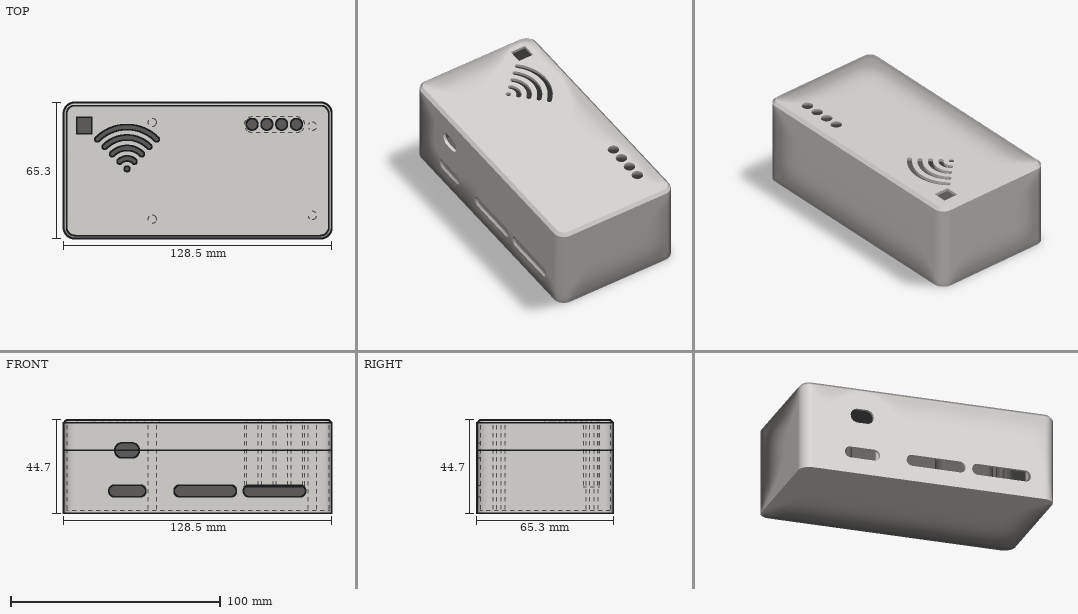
import cadquery as cq
import math

LENGTH = 128.5
WIDTH = 65.3
HEIGHT = 44.7
CORNER_RADIUS = 5.5
TOP_CHAMFER = 1.5
WALL = 1.5
PARTING_Z = 30.0
INNER_RADIUS = CORNER_RADIUS - WALL
CEILING_Z = HEIGHT - WALL

POST_DIAMETER = 4.0
LEFT_POST_X = -21.8
LEFT_POST_Y = 23.1
RIGHT_POST_X = 54.7
RIGHT_POST_Y = 21.3
POSTS = (
    (LEFT_POST_X, -LEFT_POST_Y),
    (LEFT_POST_X, LEFT_POST_Y),
    (RIGHT_POST_X, -RIGHT_POST_Y),
    (RIGHT_POST_X, RIGHT_POST_Y),
)

PORT_Z = 10.7
PORT_HEIGHT = 5.7
PORTS = ((-33.7, 17.7), (3.6, 29.8), (36.7, 29.8))
PLUG_X = -33.8
PLUG_LENGTH = 11.7
PLUG_HEIGHT = 7.2

LIGHT_COUNT = 4
LIGHT_DIAMETER = 5.5
LIGHT_PITCH = 7.1
LIGHT_ROW_X = 36.6
LIGHT_ROW_Y = 22.1
GUIDE_WALL = 1.0
GUIDE_BOTTOM_Z = 12.7

WINDOW_X = -54.2
WINDOW_Y = 21.6
WINDOW_LENGTH = 7.3
WINDOW_WIDTH = 8.0

VENT_X = -33.8
VENT_Y = 0.8
DOT_DIAMETER = 2.6
WAVE_COUNT = 4
WAVE_PITCH = 5.0
WAVE_WIDTH = 2.5
WAVE_HALF_ANGLE = 45.0


def rounded_block(inset, radius, bottom, top):
    """Block with rounded upright corners, set in from the outer walls."""
    return (
        cq.Workplane("XY", origin=(0, 0, bottom))
        .rect(LENGTH - 2 * inset, WIDTH - 2 * inset)
        .extrude(top - bottom)
        .edges("|Z")
        .fillet(radius)
    )


def front_slot(x, z, length, height):
    """Round-ended cutter through the front wall only."""
    return (
        cq.Workplane("XZ", origin=(x, -WIDTH / 2 + WALL, z))
        .slot2D(length, height)
        .extrude(WALL)
    )


def plug_slot():
    """Opening that straddles the joint between base and lid."""
    return front_slot(PLUG_X, PARTING_Z, PLUG_LENGTH, PLUG_HEIGHT)


def make_post(x, y):
    """Round post from the floor up to the underside of the lid."""
    return (
        cq.Workplane("XY", origin=(x, y, WALL))
        .circle(POST_DIAMETER / 2)
        .extrude(CEILING_Z - WALL)
    )


def make_base():
    """Open tray with four posts and the front ports."""
    base = rounded_block(0, CORNER_RADIUS, 0, PARTING_Z)
    base = base.cut(rounded_block(WALL, INNER_RADIUS, WALL, PARTING_Z))
    for x, y in POSTS:
        base = base.union(make_post(x, y))
    for x, length in PORTS:
        base = base.cut(front_slot(x, PORT_Z, length, PORT_HEIGHT))
    return base.cut(plug_slot())


def light_guide():
    """Round-ended block under the lid that carries the light holes."""
    diameter = LIGHT_DIAMETER + 2 * GUIDE_WALL
    length = (LIGHT_COUNT - 1) * LIGHT_PITCH + diameter
    return (
        cq.Workplane("XY", origin=(LIGHT_ROW_X, LIGHT_ROW_Y, GUIDE_BOTTOM_Z))
        .slot2D(length, diameter)
        .extrude(CEILING_Z - GUIDE_BOTTOM_Z)
    )


def light_holes():
    """Cutters through the lid and the whole light guide."""
    return (
        cq.Workplane("XY", origin=(LIGHT_ROW_X, LIGHT_ROW_Y, GUIDE_BOTTOM_Z))
        .rarray(LIGHT_PITCH, 1.3, LIGHT_COUNT, 1)
        .circle(LIGHT_DIAMETER / 2)
        .extrude(HEIGHT - GUIDE_BOTTOM_Z)
    )


def polar(radius, angle):
    """Point at an angle in degrees from +Y, positive towards +X."""
    turn = math.radians(angle)
    return (radius * math.sin(turn), radius * math.cos(turn))


def cap_point(radius, angle, direction):
    """Outermost point of the round end of an arc slot."""
    tip = polar(radius, angle)
    step = polar(WAVE_WIDTH / 2, direction)
    return (tip[0] + step[0], tip[1] + step[1])


def wave_slot(radius):
    """Cutter for one round-ended arc slot of the vent."""
    inner = radius - WAVE_WIDTH / 2
    outer = radius + WAVE_WIDTH / 2
    left_cap = cap_point(radius, -WAVE_HALF_ANGLE, -WAVE_HALF_ANGLE - 90)
    right_cap = cap_point(radius, WAVE_HALF_ANGLE, WAVE_HALF_ANGLE + 90)
    return (
        cq.Workplane("XY", origin=(VENT_X, VENT_Y, CEILING_Z))
        .moveTo(*polar(outer, -WAVE_HALF_ANGLE))
        .threePointArc((0, outer), polar(outer, WAVE_HALF_ANGLE))
        .threePointArc(right_cap, polar(inner, WAVE_HALF_ANGLE))
        .threePointArc((0, inner), polar(inner, -WAVE_HALF_ANGLE))
        .threePointArc(left_cap, polar(outer, -WAVE_HALF_ANGLE))
        .close()
        .extrude(WALL)
    )


def vent_dot():
    """Cutter for the round hole at the centre of the waves."""
    return (
        cq.Workplane("XY", origin=(VENT_X, VENT_Y, CEILING_Z))
        .circle(DOT_DIAMETER / 2)
        .extrude(WALL)
    )


def window():
    """Cutter for the rectangular window."""
    return (
        cq.Workplane("XY", origin=(WINDOW_X, WINDOW_Y, CEILING_Z))
        .rect(WINDOW_LENGTH, WINDOW_WIDTH)
        .extrude(WALL)
    )


def make_lid():
    """Chamfered cover with the light guide, window and vent."""
    lid = rounded_block(0, CORNER_RADIUS, PARTING_Z, HEIGHT)
    lid = lid.faces(">Z").chamfer(TOP_CHAMFER)
    lid = lid.cut(rounded_block(WALL, INNER_RADIUS, PARTING_Z, CEILING_Z))
    lid = lid.union(light_guide()).cut(light_holes())
    lid = lid.cut(plug_slot()).cut(window()).cut(vent_dot())
    for ring in range(1, WAVE_COUNT + 1):
        lid = lid.cut(wave_slot(ring * WAVE_PITCH))
    return lid


base = make_base()
lid = make_lid()
result = cq.Compound.makeCompound([base.val(), lid.val()])